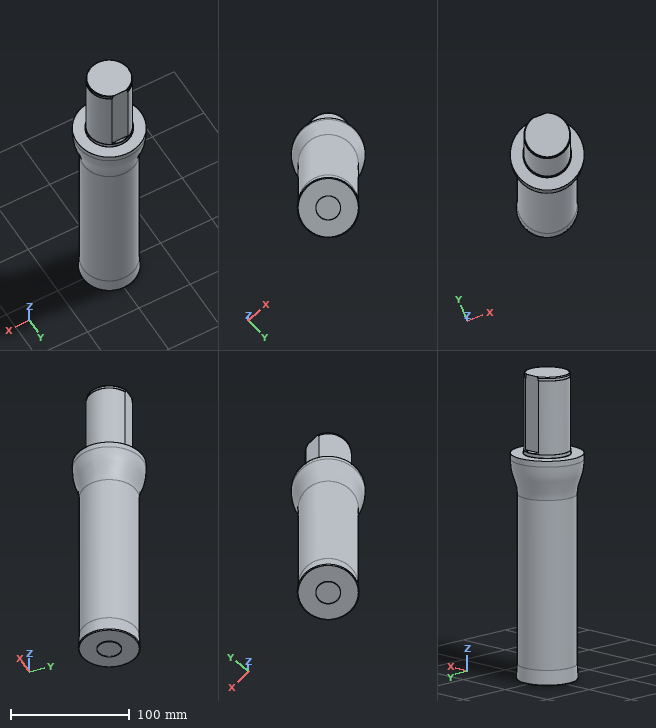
import cadquery as cq

TOTAL_HEIGHT = 267.0
HEAD_TOP = 197.0

HEAD_RADIUS = 62.5 / 2
TUBE_RADIUS = 50.7 / 2
FOOT_RADIUS = 26.2
HEAD_RIM_HEIGHT = 5.0
FLARE_HEIGHT = 30.5
FLARE_MID_RADIUS = 29.5
FLARE_MID_HEIGHT = 16.0
FOOT_TOP = 14.2
FOOT_MID_RADIUS = 26.0
FOOT_BASE = 0.8
FOOT_CHAMFER = 0.8
BASE_PAD_RADIUS = 10.5

ROD_RADIUS = 40.0 / 2
ROD_FLAT_OFFSET = 18.2
TIP_CHAMFER_HEIGHT = 1.0
TIP_CHAMFER_WIDTH = 0.5
SHANK_RADIUS = 39.5 / 2
TIP_BAND_HEIGHT = 3.2
TIP_RADIUS = 39.0 / 2
COLLAR_HEIGHT = 2.7
COLLAR_SLOPE = 1.5
SOCKET_DEPTH = 26.7
SOCKET_CHAMFER = 0.5

HEAD_RIM_BOTTOM = HEAD_TOP - HEAD_RIM_HEIGHT
FLARE_BOTTOM = HEAD_RIM_BOTTOM - FLARE_HEIGHT
SOCKET_FLOOR = HEAD_TOP - SOCKET_DEPTH


def make_housing():
    """Revolved tube with a flared head, a swelling foot and a blind socket for the rod."""
    return (
        cq.Workplane("XZ")
        .moveTo(0, 0)
        .lineTo(BASE_PAD_RADIUS, 0)
        .lineTo(BASE_PAD_RADIUS, FOOT_BASE)
        .lineTo(FOOT_RADIUS - FOOT_CHAMFER, FOOT_BASE)
        .lineTo(FOOT_RADIUS, FOOT_BASE + FOOT_CHAMFER)
        .threePointArc((FOOT_MID_RADIUS, (FOOT_BASE + FOOT_TOP) / 2), (TUBE_RADIUS, FOOT_TOP))
        .lineTo(TUBE_RADIUS, FLARE_BOTTOM)
        .spline(
            [(FLARE_MID_RADIUS, FLARE_BOTTOM + FLARE_MID_HEIGHT), (HEAD_RADIUS, HEAD_RIM_BOTTOM)],
            tangents=[(0, 1), (0, 1)],
            includeCurrent=True,
        )
        .lineTo(HEAD_RADIUS, HEAD_TOP)
        .lineTo(ROD_RADIUS + SOCKET_CHAMFER, HEAD_TOP)
        .lineTo(ROD_RADIUS, HEAD_TOP - SOCKET_CHAMFER)
        .lineTo(ROD_RADIUS, SOCKET_FLOOR)
        .lineTo(0, SOCKET_FLOOR)
        .close()
        .revolve(360, (0, 0, 0), (0, 1, 0))
    )


def make_rod():
    """Round rod with a thinner shank, a chamfered tip and one long flat that ends above the housing."""
    tip_bottom = TOTAL_HEIGHT - TIP_BAND_HEIGHT
    collar_top = HEAD_TOP + COLLAR_HEIGHT
    base = (
        cq.Workplane("XY", origin=(0, 0, SOCKET_FLOOR))
        .circle(ROD_RADIUS)
        .extrude(collar_top - SOCKET_FLOOR)
    )
    shank = (
        cq.Workplane("XY", origin=(0, 0, collar_top))
        .circle(SHANK_RADIUS)
        .extrude(tip_bottom - collar_top)
    )
    tip = (
        cq.Workplane("XY", origin=(0, 0, tip_bottom))
        .circle(TIP_RADIUS)
        .extrude(TIP_BAND_HEIGHT)
        .faces(">Z")
        .chamfer(TIP_CHAMFER_HEIGHT, TIP_CHAMFER_WIDTH)
    )
    flat_cutter = (
        cq.Workplane("YZ")
        .moveTo(ROD_RADIUS, collar_top)
        .lineTo(ROD_FLAT_OFFSET, collar_top + COLLAR_SLOPE)
        .lineTo(ROD_FLAT_OFFSET, TOTAL_HEIGHT)
        .lineTo(ROD_RADIUS, TOTAL_HEIGHT)
        .close()
        .extrude(ROD_RADIUS, both=True)
    )
    return base.union(shank).union(tip).cut(flat_cutter)


housing = make_housing()
rod = make_rod()

result = cq.Compound.makeCompound([housing.val(), rod.val()])